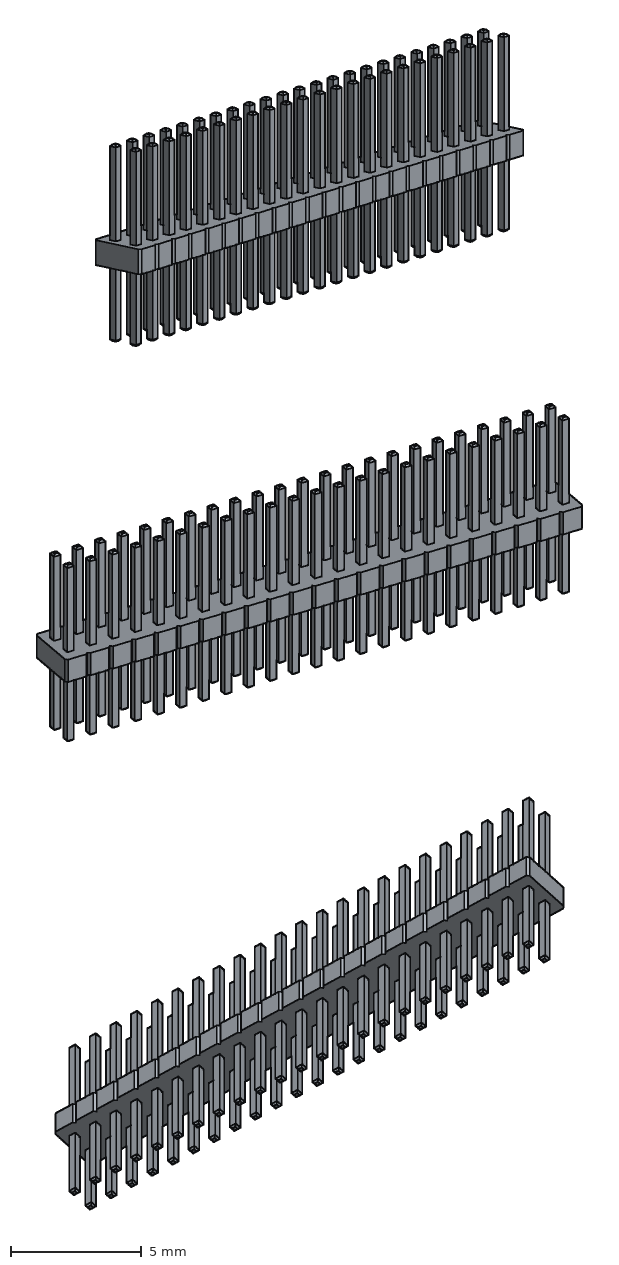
import cadquery as cq

bar_length = 23.0
bar_width = 2.3
overall_height = 7.8
row_count = 2
pins_per_row = 23
pitch = bar_length / pins_per_row

bar_height = 1.0
bar_corner_chamfer = 0.1
pin_width = 0.3
pin_tip_chamfer = 0.075
pin_length_below = 3.01


def centred_positions(count):
    """Positions at the common pitch, centred on zero."""
    return [(i - (count - 1) / 2) * pitch for i in range(count)]


row_positions = centred_positions(row_count)
pin_positions = centred_positions(pins_per_row)


def make_bar():
    """Insulator resting on Z = 0: joined segments with chamfered vertical corners."""
    half_width = bar_width / 2
    inset_width = half_width - bar_corner_chamfer
    half_flat = pitch / 2 - bar_corner_chamfer
    half_length = bar_length / 2

    right_side = [(inset_width, -half_length)]
    for y in pin_positions:
        right_side.append((half_width, y - half_flat))
        right_side.append((half_width, y + half_flat))
        right_side.append((inset_width, y + pitch / 2))
    left_side = [(-x, -y) for x, y in right_side]

    return cq.Workplane("XY").polyline(right_side + left_side).close().extrude(bar_height)


def make_pin():
    """Square pin on the Z axis, chamfered around both tips."""
    return (
        cq.Workplane("XY")
        .workplane(offset=-pin_length_below)
        .rect(pin_width, pin_width)
        .extrude(overall_height)
        .faces("<Z or >Z")
        .chamfer(pin_tip_chamfer)
    )


pin_places = [(x, y) for x in row_positions for y in pin_positions]
pins = cq.Workplane("XY").pushPoints(pin_places).eachpoint(make_pin().val())

result = make_bar().union(pins)